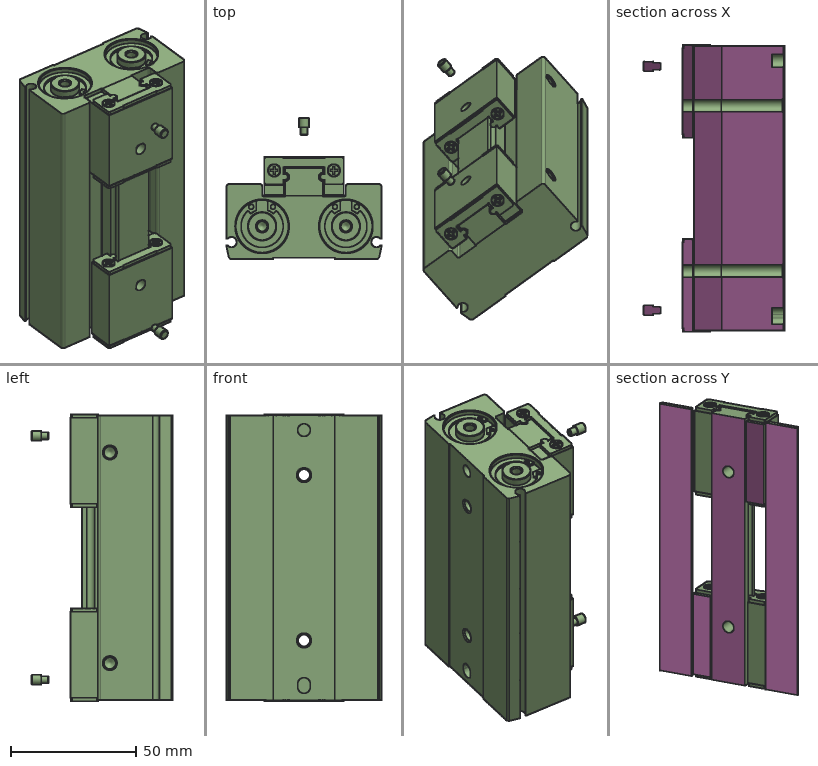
import cadquery as cq
import math


total_length = 114.6
housing_length = 113.7
housing_width = 62.0
housing_depth = 30.0
overlap = 1.1

back_corner_radius = 1.1
lower_lip_height = 0.5
lower_side_taper = 0.9
lower_chamfer = 0.7
face_relief_width = 24.8
face_relief_depth = 0.5
channel_width = 33.2
channel_floor_y = 25.0
channel_corner_radius = 0.7

groove_diameter = 4.0
groove_mouth = 2.6
groove_y = 6.8
groove_inset = 2.1

bore_spacing = 33.5
bore_y = 13.1
bore_diameter = 21.0
bore_chamfer = 0.3
bore_depth = 3.0
ring_thickness = 0.9
ring_inner_diameter = 16.8
ring_gap = 4.7
ear_inner_radius = 6.8
ear_half_angle = 42.0
ear_hole_diameter = 2.0
ear_hole_x = 4.4
ear_hole_rise = 7.8
hub_diameter = 11.5
hub_chamfer = 0.2
hub_hole_diameter = 4.0
hub_hole_depth = 9.2
hub_hole_chamfer = 0.52

drill_point_angle = 118.0
port_diameter = 4.7
port_chamfer = 0.52
port_depth = 9.2
port_y = 25.1
port_z = 42.1
mount_hole_diameter = 4.7
mount_hole_chamfer = 0.6
mount_hole_z = 33.0
dowel_width = 5.0
dowel_slot_length = 6.3
dowel_depth = 4.6
dowel_z = 51.0

rail_width = 15.0
rail_top_y = 36.3
rail_seat_height = 0.3
race_diameter = 3.2
race_y = 32.8

carriage_length = 37.1
carriage_width = 31.9
carriage_top_y = 40.9
carriage_bottom_y = 29.5
end_cap_thickness = 1.4
end_cap_drop = 0.2
end_cap_side_inset = 0.1
end_cap_bottom_inset = 0.3
end_cap_relief_depth = 0.3
end_cap_chamfer = 0.6
block_opening_width = 16.0
cap_opening_width = 16.7
opening_top_y = 36.7
bead_diameter = 2.5
bead_spacing = 15.4
foot_bottom_y = 25.2
foot_end_chamfer = 0.5

screw_x = 11.9
screw_y = 35.4
screw_seat_diameter = 5.0
screw_head_diameter = 4.7
screw_seat_depth = 0.3
cross_length = 3.0
cross_width = 0.9
cross_depth = 0.6

plug_length = 7.0
plug_head_length = 3.9
plug_head_diameter = 4.0
plug_tip_diameter = 3.0
plug_chamfer = 0.3
plug_back_y = 56.5
plug_z = 48.7

half_width = housing_width / 2
rail_seat_y = channel_floor_y + rail_seat_height
housing_top_z = housing_length / 2
carriage_z = (total_length - carriage_length) / 2


def box_between(x_range, y_range, z_range):
    """Box given by its limits along each axis."""
    sizes = [high - low for low, high in (x_range, y_range, z_range)]
    corner = cq.Vector(x_range[0], y_range[0], z_range[0])
    return cq.Workplane(cq.Solid.makeBox(*sizes, corner))


def rod(diameter, length, start, direction):
    """Cylinder running from a start point along a direction."""
    return cq.Workplane(
        cq.Solid.makeCylinder(diameter / 2, length, cq.Vector(*start), cq.Vector(*direction))
    )


def cone(start_diameter, end_diameter, length, start, direction):
    """Cone running from a start point along a direction."""
    return cq.Workplane(
        cq.Solid.makeCone(
            start_diameter / 2, end_diameter / 2, length, cq.Vector(*start), cq.Vector(*direction)
        )
    )


def drilled_hole(diameter, depth, chamfer, start, direction):
    """Cutter for a chamfered blind hole with a conical drill point."""
    point_height = diameter / 2 / math.tan(math.radians(drill_point_angle / 2))
    bottom = tuple(s + d * depth for s, d in zip(start, direction))
    hole = rod(diameter, depth, start, direction)
    hole = hole.union(cone(diameter, 0, point_height, bottom, direction))
    return hole.union(cone(diameter + 2 * chamfer, diameter, chamfer, start, direction))


def housing_body():
    """Extruded profile of the housing with the rail channel along its back."""
    taper_top_y = groove_y - groove_mouth / 2 - lower_lip_height
    body = (
        cq.Workplane("XY")
        .workplane(offset=-housing_length / 2)
        .moveTo(-half_width, housing_depth)
        .lineTo(-half_width, taper_top_y)
        .lineTo(-half_width + lower_side_taper, lower_chamfer)
        .lineTo(-half_width + lower_side_taper + lower_chamfer, 0)
        .lineTo(half_width - lower_side_taper - lower_chamfer, 0)
        .lineTo(half_width - lower_side_taper, lower_chamfer)
        .lineTo(half_width, taper_top_y)
        .lineTo(half_width, housing_depth)
        .close()
        .extrude(housing_length)
    )
    channel = (
        cq.Workplane("XY")
        .workplane(offset=-total_length / 2)
        .center(0, housing_depth)
        .rect(channel_width, 2 * (housing_depth - channel_floor_y))
        .extrude(total_length)
        .edges("|Z and <Y")
        .fillet(channel_corner_radius)
    )
    relief = box_between(
        (-face_relief_width / 2, face_relief_width / 2),
        (-overlap, face_relief_depth),
        (-total_length / 2, total_length / 2),
    )
    body = body.cut(channel).edges("|Z and >Y").fillet(back_corner_radius).cut(relief)
    rail_seat = box_between(
        (-rail_width / 2, rail_width / 2),
        (channel_floor_y, rail_seat_y),
        (-housing_length / 2, housing_length / 2),
    )
    return body.union(rail_seat)


def sensor_groove(side):
    """Cutter for the keyhole-shaped groove along one side."""
    centre_x = side * (half_width - groove_inset)
    outer_x = side * (half_width + overlap)
    z_range = (-total_length / 2, total_length / 2)
    round_part = rod(groove_diameter, total_length, (centre_x, groove_y, z_range[0]), (0, 0, 1))
    mouth = box_between(
        sorted((centre_x, outer_x)),
        (groove_y - groove_mouth / 2, groove_y + groove_mouth / 2),
        z_range,
    )
    return round_part.union(mouth)


def retaining_ring(centre_x):
    """Open ring with two drilled ears, resting on the floor of a bore."""
    floor_z = housing_top_z - bore_depth
    outer_radius = bore_diameter / 2
    plane = cq.Workplane("XY", origin=(centre_x, bore_y, floor_z))
    disc = plane.circle(outer_radius).extrude(ring_thickness)
    ring = disc.cut(plane.circle(ring_inner_diameter / 2).extrude(ring_thickness))
    ear_reach = 2 * outer_radius
    ear_x = ear_reach * math.tan(math.radians(ear_half_angle))
    ear_sector = (
        plane.polyline([(0, 0), (ear_x, ear_reach), (-ear_x, ear_reach)])
        .close()
        .extrude(ring_thickness)
    )
    ears = disc.intersect(ear_sector).cut(plane.circle(ear_inner_radius).extrude(ring_thickness))
    gap = plane.center(0, outer_radius).rect(ring_gap, 2 * outer_radius).extrude(ring_thickness)
    ear_holes = (
        plane.pushPoints([(-ear_hole_x, ear_hole_rise), (ear_hole_x, ear_hole_rise)])
        .circle(ear_hole_diameter / 2)
        .extrude(ring_thickness)
    )
    return ring.union(ears).cut(gap).cut(ear_holes)


def bore_hub(centre_x):
    """Round hub standing in the middle of a bore, level with the housing end."""
    hub = rod(hub_diameter, bore_depth, (centre_x, bore_y, housing_top_z - bore_depth), (0, 0, 1))
    return hub.faces(">Z").chamfer(hub_chamfer)


def add_bore_end(body, centre_x):
    """Sink one bore into the housing end and fit its ring and drilled hub."""
    end_point = (centre_x, bore_y, housing_top_z)
    down = (0, 0, -1)
    body = body.cut(rod(bore_diameter, bore_depth, end_point, down))
    body = body.cut(
        cone(bore_diameter + 2 * bore_chamfer, bore_diameter, bore_chamfer, end_point, down)
    )
    body = body.union(retaining_ring(centre_x)).union(bore_hub(centre_x))
    return body.cut(
        drilled_hole(hub_hole_diameter, hub_hole_depth, hub_hole_chamfer, end_point, down)
    )


def mount_hole(z):
    """Cutter for a mounting hole through the whole depth of the assembly."""
    return rod(mount_hole_diameter, carriage_top_y + overlap, (0, 0, z), (0, 1, 0))


def dowel_cutter(outline):
    """Cutter for a blind dowel hole from an outline drawn on the front face."""
    return outline.extrude(-(face_relief_depth + dowel_depth))


def make_housing():
    body = housing_body()
    for side in (-1, 1):
        body = body.cut(sensor_groove(side))
        body = add_bore_end(body, side * bore_spacing / 2)
        body = body.cut(
            drilled_hole(
                port_diameter, port_depth, port_chamfer, (-half_width, port_y, side * port_z), (1, 0, 0)
            )
        )
        z = side * mount_hole_z
        body = body.cut(mount_hole(z))
        body = body.cut(
            cone(
                mount_hole_diameter + 2 * mount_hole_chamfer,
                mount_hole_diameter,
                mount_hole_chamfer,
                (0, face_relief_depth, z),
                (0, 1, 0),
            )
        )
    round_dowel = cq.Workplane("XZ", origin=(0, 0, dowel_z)).circle(dowel_width / 2)
    slotted_dowel = cq.Workplane("XZ", origin=(0, 0, -dowel_z)).slot2D(dowel_slot_length, dowel_width, 90)
    return body.cut(dowel_cutter(round_dowel)).cut(dowel_cutter(slotted_dowel))


def make_rail():
    """Guide rail with a ball race along each flank."""
    rail = box_between(
        (-rail_width / 2, rail_width / 2),
        (rail_seat_y, rail_top_y),
        (-housing_length / 2, housing_length / 2),
    )
    for side in (-1, 1):
        race_start = (side * rail_width / 2, race_y, -total_length / 2)
        rail = rail.cut(rod(race_diameter, total_length, race_start, (0, 0, 1)))
        rail = rail.cut(mount_hole(side * mount_hole_z))
    return rail


def carriage_opening(width, z_range):
    """Cutter that clears the rail, leaving a bead in each of its races."""
    opening = box_between((-width / 2, width / 2), (foot_bottom_y - overlap, opening_top_y), z_range)
    for side in (-1, 1):
        bead_start = (side * bead_spacing / 2, race_y, z_range[0])
        opening = opening.cut(rod(bead_diameter, z_range[1] - z_range[0], bead_start, (0, 0, 1)))
    return opening


def end_cap(z_range):
    """Thin end plate of a carriage with chamfered corners and a relieved back edge."""
    cap_top_y = carriage_top_y - end_cap_drop
    half_cap = carriage_width / 2 - end_cap_side_inset
    cap_bottom_y = carriage_bottom_y + end_cap_bottom_inset
    cap = box_between((-half_cap, half_cap), (cap_bottom_y, cap_top_y), z_range)
    cap = cap.edges("|Z").chamfer(end_cap_chamfer)
    relief = box_between(
        (-cap_opening_width / 2, cap_opening_width / 2),
        (cap_top_y - end_cap_relief_depth, cap_top_y + overlap),
        z_range,
    )
    return cap.cut(relief).cut(carriage_opening(cap_opening_width, z_range))


def screw_recess(x, z, direction):
    """Cutter for the ring around a screw head and the cross in the head."""
    plane = cq.Workplane("XY", origin=(x, screw_y, z))
    seat = plane.circle(screw_seat_diameter / 2).circle(screw_head_diameter / 2)
    ring = seat.extrude(direction * screw_seat_depth)
    cross = plane.rect(cross_length, cross_width).extrude(direction * cross_depth)
    cross = cross.union(plane.rect(cross_width, cross_length).extrude(direction * cross_depth), clean=True)
    return ring.union(cross)


def make_carriage():
    """Carriage at the upper end, with a foot in the +X side of the channel."""
    half_carriage = carriage_width / 2
    low_z = carriage_z - carriage_length / 2
    high_z = carriage_z + carriage_length / 2
    block_z = (low_z + end_cap_thickness, high_z - end_cap_thickness)
    block = box_between(
        (-half_carriage, half_carriage), (carriage_bottom_y, carriage_top_y), block_z
    )
    foot = box_between(
        (block_opening_width / 2, half_carriage), (foot_bottom_y, carriage_bottom_y), block_z
    )
    foot = foot.edges("|X and <Y").chamfer(foot_end_chamfer)
    carriage = block.union(foot).cut(carriage_opening(block_opening_width, block_z))
    carriage = carriage.union(end_cap((low_z, block_z[0]))).union(end_cap((block_z[1], high_z)))
    for side in (-1, 1):
        carriage = carriage.cut(screw_recess(side * screw_x, low_z, 1))
        carriage = carriage.cut(screw_recess(side * screw_x, high_z, -1))
    return carriage.cut(mount_hole(mount_hole_z))


def make_plug(z):
    """Stepped plug with its thin tip toward the housing, chamfered at both ends."""
    step_y = plug_back_y - plug_head_length
    toward_housing = (0, -1, 0)
    head = rod(plug_head_diameter, plug_head_length, (0, plug_back_y, z), toward_housing)
    tip = rod(plug_tip_diameter, plug_length - plug_head_length, (0, step_y, z), toward_housing)
    return head.faces(">Y").chamfer(plug_chamfer).union(tip.faces("<Y").chamfer(plug_chamfer))


housing = make_housing()
rail = make_rail()
upper_carriage = make_carriage()
carriages = [upper_carriage.rotate((0, 0, 0), (0, 1, 0), turn) for turn in (0, 180)]
plugs = [make_plug(side * plug_z) for side in (-1, 1)]

result = cq.Compound.makeCompound(
    [housing.val(), rail.val(), *[c.val() for c in carriages], *[p.val() for p in plugs]]
)